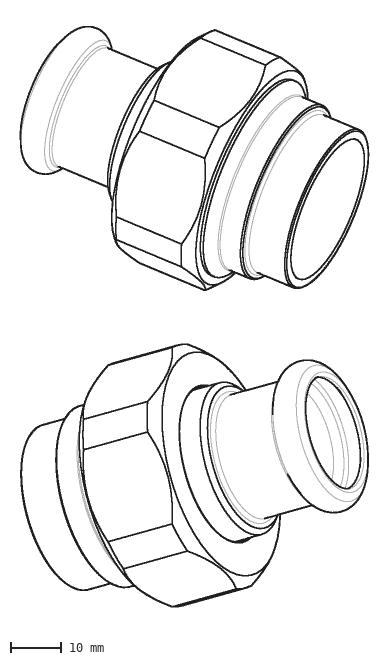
import cadquery as cq
import math


OVERALL_LENGTH = 62.5

TUBE_DIAMETER = 25.3
TUBE_WALL = 1.5
LIP_DIAMETER = 22.8
LIP_ROUND = 0.55
BEAD_CENTRE_X = 3.7
BEAD_CENTRE_RADIUS = 12.3
BEAD_OUTER_ROUND = 3.1
BEAD_SLOPE = math.radians(60)
BEAD_ROOT_FILLET = 0.55

COLLAR_START = 20.95
COLLAR_DIAMETER = 31.0
COLLAR_CHAMFER = 1.05
COLLAR_ROOT_FILLET = 0.75
FLANGE_DIAMETER = 38.0
FLANGE_THICKNESS = 4.0
PRESS_TAIL_BORE = 21.0
TUBE_STOP_CHAMFER = 0.2

NUT_START = 26.45
NUT_LENGTH = 19.0
NUT_ACROSS_FLATS = 46.0
NUT_CORNER_DIAMETER = 49.67
NUT_CHAMFER = 2.15
NUT_COLLAR_HOLE = 31.5
NUT_HOLE_CHAMFER = 0.25
NUT_SHOULDER_THICKNESS = 3.5

THREAD_DIAMETER = 41.75
THREAD_END = 46.1
CONE_END = 48.3
CONE_FOOT_FILLET = 0.5
STEP_DIAMETER = 37.0
STEP_END = 53.5
STEP_CHAMFER = 0.35
STEP_ROOT_FILLET = 0.6
PIPE_DIAMETER = 33.7
PIPE_BORE = 29.7
PIPE_END_CHAMFER = 0.3

FLANGE_START = NUT_START + NUT_SHOULDER_THICKNESS
FLANGE_END = FLANGE_START + FLANGE_THICKNESS


def revolve_about_x(profile):
    """Turn a closed profile of (x, radius) points about the X axis."""
    return profile.close().revolve(360, (0, 0, 0), (1, 0, 0))


def on_arc(centre, radius, angle):
    """Point on a circle, with the angle taken from the radial direction towards +X."""
    return (centre[0] + radius * math.sin(angle), centre[1] + radius * math.cos(angle))


def slope_shift(start, radius):
    """Place on the bead slope, level with the given radius, seen from a start point."""
    return (start[0] - (start[1] - radius) / math.tan(BEAD_SLOPE), radius)


def make_press_tail():
    tube_radius = TUBE_DIAMETER / 2
    socket_radius = tube_radius - TUBE_WALL
    collar_radius = COLLAR_DIAMETER / 2
    flange_radius = FLANGE_DIAMETER / 2
    bore_radius = PRESS_TAIL_BORE / 2
    lip_radius = LIP_DIAMETER / 2

    bead_centre = (BEAD_CENTRE_X, BEAD_CENTRE_RADIUS)
    groove_round = BEAD_OUTER_ROUND - TUBE_WALL
    outer_front = on_arc(bead_centre, BEAD_OUTER_ROUND, -BEAD_SLOPE)
    outer_top = on_arc(bead_centre, BEAD_OUTER_ROUND, 0)
    outer_back = on_arc(bead_centre, BEAD_OUTER_ROUND, BEAD_SLOPE)
    groove_front = on_arc(bead_centre, groove_round, -BEAD_SLOPE)
    groove_top = on_arc(bead_centre, groove_round, 0)
    groove_back = on_arc(bead_centre, groove_round, BEAD_SLOPE)
    lip_inner_end = slope_shift(groove_front, lip_radius)

    lip_centre = (LIP_ROUND, lip_radius + LIP_ROUND)
    lip_start = (LIP_ROUND, lip_radius)
    lip_middle = on_arc(lip_centre, LIP_ROUND, -math.pi / 2)
    lip_end = on_arc(lip_centre, LIP_ROUND, -BEAD_SLOPE)

    bend_radius = tube_radius + BEAD_ROOT_FILLET
    bend_inner_round = BEAD_ROOT_FILLET + TUBE_WALL
    to_bend = BEAD_OUTER_ROUND + BEAD_ROOT_FILLET
    flank_drop = BEAD_CENTRE_RADIUS + to_bend * math.cos(BEAD_SLOPE) - bend_radius
    bend_x = BEAD_CENTRE_X + to_bend * math.sin(BEAD_SLOPE) + flank_drop / math.tan(BEAD_SLOPE)
    bend_centre = (bend_x, bend_radius)
    bend_start = math.pi + BEAD_SLOPE
    bend_middle = math.pi + BEAD_SLOPE / 2

    root_centre = (COLLAR_START - COLLAR_ROOT_FILLET, tube_radius + COLLAR_ROOT_FILLET)

    profile = (
        cq.Workplane("XY")
        .moveTo(*lip_start)
        .threePointArc(lip_middle, lip_end)
        .lineTo(*outer_front)
        .threePointArc(outer_top, outer_back)
        .lineTo(*on_arc(bend_centre, BEAD_ROOT_FILLET, bend_start))
        .threePointArc(on_arc(bend_centre, BEAD_ROOT_FILLET, bend_middle), (bend_x, tube_radius))
        .lineTo(root_centre[0], tube_radius)
        .threePointArc(
            on_arc(root_centre, COLLAR_ROOT_FILLET, math.radians(135)),
            (COLLAR_START, root_centre[1]),
        )
        .lineTo(COLLAR_START, collar_radius - COLLAR_CHAMFER)
        .lineTo(COLLAR_START + COLLAR_CHAMFER, collar_radius)
        .lineTo(FLANGE_START, collar_radius)
        .lineTo(FLANGE_START, flange_radius)
        .lineTo(FLANGE_END, flange_radius)
        .lineTo(FLANGE_END, bore_radius)
        .lineTo(COLLAR_START + TUBE_STOP_CHAMFER, bore_radius)
        .lineTo(COLLAR_START, bore_radius + TUBE_STOP_CHAMFER)
        .lineTo(COLLAR_START, socket_radius)
        .lineTo(bend_x, socket_radius)
        .threePointArc(
            on_arc(bend_centre, bend_inner_round, bend_middle),
            on_arc(bend_centre, bend_inner_round, bend_start),
        )
        .lineTo(*groove_back)
        .threePointArc(groove_top, groove_front)
        .lineTo(*lip_inner_end)
    )
    return revolve_about_x(profile)


def make_nut():
    hexagon = (
        cq.Workplane("YZ", origin=(NUT_START, 0, 0))
        .polygon(6, NUT_ACROSS_FLATS / math.cos(math.pi / 6))
        .extrude(NUT_LENGTH)
    )
    corner_round = (
        cq.Workplane("YZ", origin=(NUT_START, 0, 0))
        .circle(NUT_CORNER_DIAMETER / 2)
        .extrude(NUT_LENGTH)
        .faces("<X or >X")
        .chamfer(NUT_CHAMFER)
    )
    collar_hole = (
        cq.Workplane("YZ", origin=(NUT_START, 0, 0))
        .circle(NUT_COLLAR_HOLE / 2)
        .extrude(NUT_LENGTH)
    )
    thread_bore = (
        cq.Workplane("YZ", origin=(FLANGE_START, 0, 0))
        .circle(THREAD_DIAMETER / 2)
        .extrude(NUT_LENGTH - NUT_SHOULDER_THICKNESS)
    )
    hole_radius = NUT_COLLAR_HOLE / 2
    hole_bevel = revolve_about_x(
        cq.Workplane("XY")
        .moveTo(NUT_START, 0)
        .lineTo(NUT_START, hole_radius + NUT_HOLE_CHAMFER)
        .lineTo(NUT_START + NUT_HOLE_CHAMFER, hole_radius)
        .lineTo(NUT_START + NUT_HOLE_CHAMFER, 0)
    )
    return hexagon.intersect(corner_round).cut(collar_hole).cut(hole_bevel).cut(thread_bore)


def make_plain_tail():
    thread_radius = THREAD_DIAMETER / 2
    step_radius = STEP_DIAMETER / 2
    pipe_radius = PIPE_DIAMETER / 2
    bore_radius = PIPE_BORE / 2

    cone_slope = math.atan2(thread_radius - step_radius, CONE_END - THREAD_END)
    foot_tangent = CONE_FOOT_FILLET * math.tan(cone_slope / 2)
    foot_centre = (CONE_END + foot_tangent, step_radius + CONE_FOOT_FILLET)

    root_centre = (STEP_END + STEP_ROOT_FILLET, pipe_radius + STEP_ROOT_FILLET)

    profile = (
        cq.Workplane("XY")
        .moveTo(FLANGE_END, bore_radius)
        .lineTo(FLANGE_END, thread_radius)
        .lineTo(THREAD_END, thread_radius)
        .lineTo(*on_arc(foot_centre, CONE_FOOT_FILLET, math.pi + cone_slope))
        .threePointArc(
            on_arc(foot_centre, CONE_FOOT_FILLET, math.pi + cone_slope / 2),
            (foot_centre[0], step_radius),
        )
        .lineTo(STEP_END - STEP_CHAMFER, step_radius)
        .lineTo(STEP_END, step_radius - STEP_CHAMFER)
        .lineTo(STEP_END, root_centre[1])
        .threePointArc(
            on_arc(root_centre, STEP_ROOT_FILLET, math.radians(225)),
            (root_centre[0], pipe_radius),
        )
        .lineTo(OVERALL_LENGTH - PIPE_END_CHAMFER, pipe_radius)
        .lineTo(OVERALL_LENGTH, pipe_radius - PIPE_END_CHAMFER)
        .lineTo(OVERALL_LENGTH, bore_radius)
    )
    return revolve_about_x(profile)


press_tail = make_press_tail()
nut = make_nut()
plain_tail = make_plain_tail()

result = cq.Compound.makeCompound([press_tail.val(), nut.val(), plain_tail.val()])